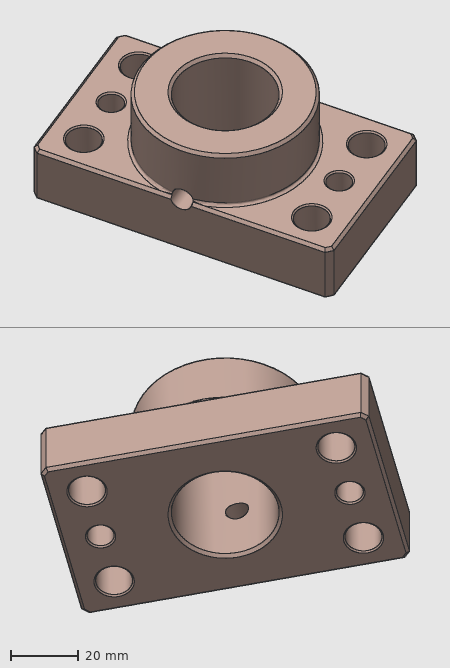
import cadquery as cq

plate_length = 100.0
plate_width = 58.0
plate_height = 20.0
corner_chamfer = 2.0
edge_chamfer = 1.0

total_height = 40.0
boss_diameter = 56.0
bore_diameter = 32.0
bore_chamfer = 1.0
flare_size = 1.0

hole_offset_x = 38.0
screw_offset_y = 18.0
screw_diameter = 11.0
dowel_diameter = 8.0
hole_chamfer = 0.5

side_hole_diameter = 7.0


def make_plate():
    plate = cq.Workplane("XY").box(
        plate_length, plate_width, plate_height, centered=(True, True, False)
    )
    plate = plate.edges("|Z").chamfer(corner_chamfer)
    return plate.faces("<Z or >Z").edges().chamfer(edge_chamfer)


def make_boss():
    """Chamfered cylinder with a concave flare, cut back at the plate's long top edges."""
    radius = boss_diameter / 2
    flare_radius = radius + flare_size
    flare_top = plate_height + flare_size
    boss = (
        cq.Workplane("XZ")
        .moveTo(0, edge_chamfer)
        .lineTo(radius - edge_chamfer, edge_chamfer)
        .lineTo(radius - edge_chamfer, plate_height)
        .lineTo(flare_radius, plate_height)
        .radiusArc((radius, flare_top), flare_size)
        .lineTo(radius, total_height - edge_chamfer)
        .lineTo(radius - edge_chamfer, total_height)
        .lineTo(0, total_height)
        .close()
        .revolve(360, (0, 0, 0), (0, 1, 0))
    )
    flat_width = plate_width - 2 * edge_chamfer
    limits = cq.Workplane("XY").box(
        plate_length, flat_width, total_height, centered=(True, True, False)
    )
    return boss.intersect(limits)


def chamfered_hole(diameter, height, chamfer):
    """Cutter for a through hole along Z with a chamfer at both mouths."""
    radius = diameter / 2
    mouth_radius = radius + chamfer
    return (
        cq.Workplane("XZ")
        .polyline([
            (0, 0),
            (mouth_radius, 0),
            (radius, chamfer),
            (radius, height - chamfer),
            (mouth_radius, height),
            (0, height),
        ])
        .close()
        .revolve(360, (0, 0, 0), (0, 1, 0))
    )


def make_side_hole():
    """Cutter along Y that runs from the front side to the centre of the bore."""
    return (
        cq.Workplane("XZ")
        .center(0, plate_height)
        .circle(side_hole_diameter / 2)
        .extrude(plate_width / 2)
    )


result = make_plate().union(make_boss())
result = result.cut(chamfered_hole(bore_diameter, total_height, bore_chamfer))
result = result.cut(make_side_hole())

screw_hole = chamfered_hole(screw_diameter, plate_height, hole_chamfer)
dowel_hole = chamfered_hole(dowel_diameter, plate_height, hole_chamfer)
for x in (-hole_offset_x, hole_offset_x):
    result = result.cut(dowel_hole.translate((x, 0, 0)))
    for y in (-screw_offset_y, screw_offset_y):
        result = result.cut(screw_hole.translate((x, y, 0)))